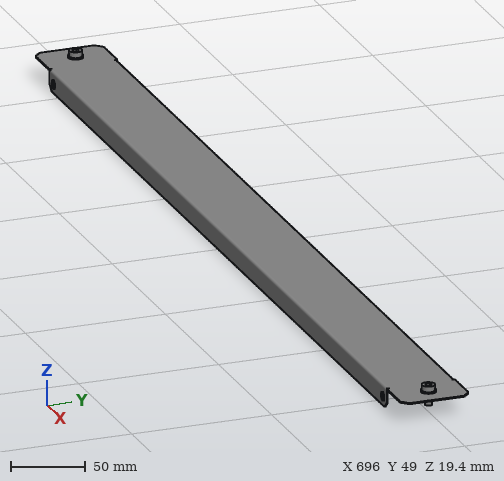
import cadquery as cq

PANEL_LENGTH = 696.0
PANEL_WIDTH = 49.0
SHEET_THICKNESS = 1.0
PANEL_CORNER_CHAMFER = 5.0
OUTER_BEND_RADIUS = 2 * SHEET_THICKNESS
INNER_BEND_RADIUS = OUTER_BEND_RADIUS - SHEET_THICKNESS

FLANGE_DEPTH = 14.5
FLANGE_SETBACK = 30.5
FLANGE_LENGTH = PANEL_LENGTH - 2 * FLANGE_SETBACK
FLANGE_CORNER_CHAMFER = 4.0
FLANGE_HOLE_DIAMETER = 6.0
FLANGE_HOLE_INSET = 8.0
FLANGE_HOLE_X = FLANGE_LENGTH / 2 - FLANGE_HOLE_INSET
FLANGE_HOLE_DEPTH = 8.5

SCREW_INSET = 16.0
SCREW_X = PANEL_LENGTH / 2 - SCREW_INSET
SHANK_DIAMETER = 5.0
SHANK_LENGTH = 10.5
HEAD_DIAMETER = 9.0
HEAD_HEIGHT = 3.9
SOCKET_WIDTH = 4.0
SOCKET_DEPTH = 2.0
HEXAGON_SIDES = 6
WASHER_DIAMETER = 10.5
WASHER_THICKNESS = SHEET_THICKNESS


def block_below(top_z, length, width, height):
    """Block centred in X and Y whose top lies at top_z."""
    return cq.Workplane("XY", origin=(0, 0, top_z - height)).box(
        length, width, height, centered=(True, True, False)
    )


def make_channel():
    """Flanged length of the panel: web, two bends and two pierced flanges."""
    outside = block_below(0, FLANGE_LENGTH, PANEL_WIDTH, FLANGE_DEPTH)
    outside = outside.edges("|X and >Z").fillet(OUTER_BEND_RADIUS)
    inside = block_below(
        -SHEET_THICKNESS,
        FLANGE_LENGTH,
        PANEL_WIDTH - 2 * SHEET_THICKNESS,
        FLANGE_DEPTH - SHEET_THICKNESS,
    )
    inside = inside.edges("|X and >Z").fillet(INNER_BEND_RADIUS)
    channel = outside.cut(inside)
    channel = channel.edges("|Y and <Z").chamfer(FLANGE_CORNER_CHAMFER)

    drillings = (
        cq.Workplane("XZ")
        .pushPoints([(-FLANGE_HOLE_X, -FLANGE_HOLE_DEPTH), (FLANGE_HOLE_X, -FLANGE_HOLE_DEPTH)])
        .circle(FLANGE_HOLE_DIAMETER / 2)
        .extrude(PANEL_WIDTH, both=True)
    )
    return channel.cut(drillings)


def make_panel():
    """Folded sheet whose top face lies at Z = 0."""
    sheet = block_below(0, PANEL_LENGTH, PANEL_WIDTH, SHEET_THICKNESS)
    sheet = sheet.edges("|Z").chamfer(PANEL_CORNER_CHAMFER)
    flat_ends = sheet.cut(block_below(0, FLANGE_LENGTH, PANEL_WIDTH, SHEET_THICKNESS))
    screw_holes = (
        cq.Workplane("XY")
        .pushPoints([(-SCREW_X, 0), (SCREW_X, 0)])
        .circle(SHANK_DIAMETER / 2)
        .extrude(-SHEET_THICKNESS)
    )
    return make_channel().union(flat_ends).cut(screw_holes)


def make_washer(x):
    """Flat ring that lies on the panel around the shank."""
    return (
        cq.Workplane("XY", origin=(x, 0, 0))
        .circle(WASHER_DIAMETER / 2)
        .circle(SHANK_DIAMETER / 2)
        .extrude(WASHER_THICKNESS)
    )


def make_screw(x):
    """Cylinder-head screw with a hexagon socket, seated on its washer."""
    seat = cq.Workplane("XY", origin=(x, 0, WASHER_THICKNESS))
    head = seat.circle(HEAD_DIAMETER / 2).extrude(HEAD_HEIGHT)
    shank = seat.circle(SHANK_DIAMETER / 2).extrude(-SHANK_LENGTH)
    socket = (
        seat.workplane(offset=HEAD_HEIGHT)
        .polygon(HEXAGON_SIDES, SOCKET_WIDTH, circumscribed=True)
        .extrude(-SOCKET_DEPTH)
    )
    return head.union(shank).cut(socket)


panel = make_panel()
washers = []
screws = []
for screw_x in (-SCREW_X, SCREW_X):
    washers.append(make_washer(screw_x).solids().val())
    screws.append(make_screw(screw_x).solids().val())

result = cq.Compound.makeCompound([panel.solids().val(), *washers, *screws])